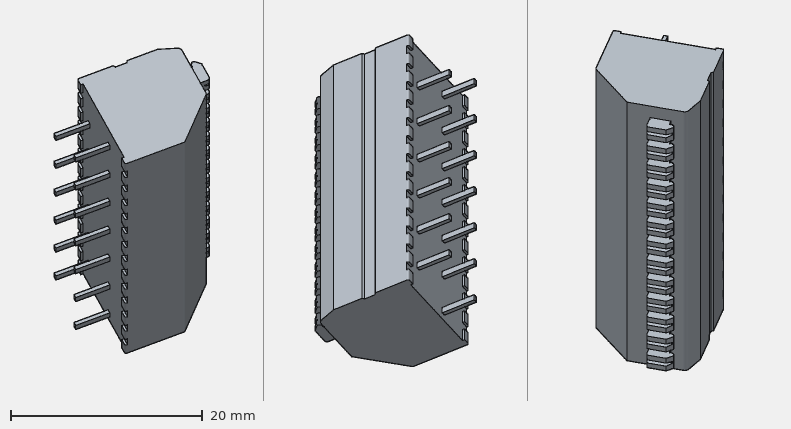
import cadquery as cq

length = 34.0
width = 12.0
body_top = 11.45
floor_level = 0.27
left_shoulder = 9.18
left_lean = 0.85
top_left_radius = 0.5
top_right = 7.3
right_shoulder = 6.85
right_shoulder_radius = 0.27

groove_depth = 0.25
groove_low = 4.08
groove_low_inner = 4.25
groove_high_inner = 5.55
groove_high = 5.7

pole_count = 13
foot_height = 1.5
foot_width = 0.85
foot_radius = 0.2
pitch = (length - foot_height) / pole_count

pin_width = 0.45
pin_height = 0.75
pin_tip = -3.65
pin_base = 0.8
right_pin_x = 7.35
left_pin_x = right_pin_x - 2 * pitch

lever_top = 13.05
lever_height = 1.65
lever_base = 0.8
lever_left = 2.55
lever_right = 4.8
lever_corner = 0.3
nose_left = 2.0
nose_slope = 0.6
nose_bottom = 12.0
nose_bevel = 0.2

notch_depth = nose_slope
notch_mouth = 0.4
notch_end = 0.15


def make_housing():
    outline = [
        (0, floor_level),
        (0, groove_low),
        (groove_depth, groove_low_inner),
        (groove_depth, groove_high_inner),
        (0, groove_high),
        (0, left_shoulder),
        (left_lean, body_top),
        (top_right, body_top),
        (width, right_shoulder),
        (width, floor_level),
    ]
    housing = cq.Workplane("XY").polyline(outline).close().extrude(length)
    top_left_edge = cq.selectors.NearestToPointSelector((left_lean, body_top, length / 2))
    right_shoulder_edge = cq.selectors.NearestToPointSelector((width, right_shoulder, length / 2))
    housing = housing.edges(top_left_edge).fillet(top_left_radius)
    return housing.edges(right_shoulder_edge).fillet(right_shoulder_radius)


def make_foot_pair(base):
    left_foot = (
        cq.Workplane("XY")
        .workplane(offset=base)
        .moveTo(0, floor_level)
        .lineTo(0, foot_radius)
        .radiusArc((foot_radius, 0), -foot_radius)
        .lineTo(foot_width, 0)
        .lineTo(foot_width, floor_level)
        .close()
        .extrude(foot_height)
    )
    right_foot = left_foot.mirror("YZ").translate((width, 0, 0))
    return left_foot.union(right_foot)


def make_pin(center_x, base):
    pin_length = floor_level - pin_tip
    pin = cq.Workplane("XY").box(pin_width, pin_length, pin_height, centered=(True, False, False))
    return pin.translate((center_x, pin_tip, base))


def make_lever(base):
    lever = (
        cq.Workplane("XY")
        .workplane(offset=base)
        .moveTo(lever_left, body_top)
        .lineTo(lever_left, nose_bottom)
        .lineTo(nose_left + nose_bevel, nose_bottom)
        .lineTo(nose_left, nose_bottom + nose_bevel)
        .lineTo(nose_left, lever_top - nose_slope)
        .lineTo(nose_left + nose_slope, lever_top)
        .lineTo(lever_right - lever_corner, lever_top)
        .radiusArc((lever_right, lever_top - lever_corner), lever_corner)
        .lineTo(lever_right, body_top)
        .close()
        .extrude(lever_height)
    )
    middle = base + lever_height / 2
    notch = (
        cq.Workplane("YZ")
        .polyline([
            (lever_top, middle - notch_mouth / 2),
            (lever_top - notch_depth, middle - notch_end / 2),
            (lever_top - notch_depth, middle + notch_end / 2),
            (lever_top, middle + notch_mouth / 2),
        ])
        .close()
        .extrude(width)
    )
    return lever.cut(notch)


result = make_housing()
for i in range(pole_count + 1):
    result = result.union(make_foot_pair(i * pitch))
for i in range(pole_count):
    pin_x = right_pin_x if i % 2 == 0 else left_pin_x
    result = result.union(make_pin(pin_x, pin_base + i * pitch))
    result = result.union(make_lever(lever_base + i * pitch))